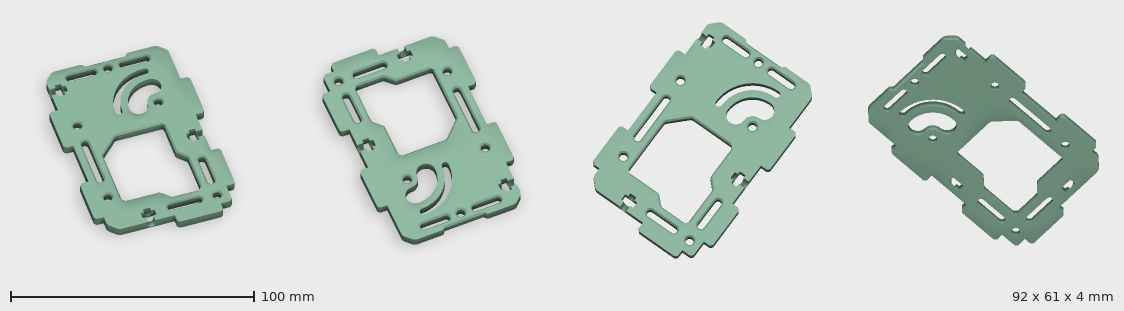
import cadquery as cq
import math

total_length = 92.0
total_width = 61.0
thickness = 4.0
tab_height = 4.0
tab_length = 20.0
tab_chamfer = 1.0
body_length = total_length - tab_height
body_width = total_width - 2 * tab_height
half_width = body_width / 2

corner_chamfer = 4.0
corner_fillet = 2.8

left_tabs_x = 1.5 * tab_length
right_tabs_x = 3.5 * tab_length
end_tab_y = 11.5

notch_depth = 1.0
notch_length = tab_length
notch_bevel = 0.7

hole_diameter = 3.5
slot_width = 3.0
rim_chamfer = 0.69
left_column_x = 5.0
right_column_x = 83.0
row_y = 21.5
pivot = (28.5, 14.0)
hole_centers = [
    (left_column_x, 0),
    (30.0, -row_y),
    (70.0, -row_y),
    (right_column_x, row_y),
    pivot,
]
left_slot_length = 13.0
bottom_slot_length = 23.0
right_slot_length = 14.9
left_slot_y = 11.5
straight_slots = [
    (left_column_x, left_slot_y, left_slot_length, 90),
    (left_column_x, -left_slot_y, left_slot_length, 90),
    (50.0, -row_y, bottom_slot_length, 0),
    (69.0, row_y, right_slot_length, 0),
    (right_column_x, 7.5, right_slot_length, 90),
]

wide_arc_radius = 8.5
wide_arc_width = 8.0
narrow_arc_radius = 17.0
narrow_arc_width = 2.9

window_left = 40.0
window_right = 78.0
window_half_width = 16.5
window_step = 4.0
window_step_x = 56.0
window_step_y = -0.4
window_big_chamfer = 8.0
window_fillet = 2.0
window_corner_leg = 2.2

screw_diameter = 3.1
screw_length = 7.1
nut_width = 6.0
nut_height = 2.8
nut_edge_distance = 2.8
screw_floor = 0.5
screw_end_fillet = 0.55
screw_channels = [
    (10.0, -half_width, 90),
    (50.0, half_width, -90),
    (body_length, -8.5, 180),
]


def block(length, width, x, y):
    """Full-thickness box centred on (x, y)."""
    return cq.Workplane("XY").center(x, y).rect(length, width).extrude(thickness)


def make_body():
    """Base plate with three large rounded corners and one small chamfered corner."""
    small_corner = "|Z and >(1, 1, 0)"
    other_corners = "|Z and (not >(1, 1, 0))"
    body = block(body_length, body_width, body_length / 2, 0)
    body = body.edges(other_corners).chamfer(corner_chamfer)
    body = body.edges(other_corners).fillet(corner_fillet)
    return body.edges(small_corner).chamfer(tab_chamfer)


def add_tabs(plate):
    """Tabs on the front and back edges, and one on the right end."""
    for x in (left_tabs_x, right_tabs_x):
        tab_pair = block(tab_length, total_width, x, 0)
        plate = plate.union(tab_pair.edges("|Z").chamfer(tab_chamfer))
    end_tab_reach = 3 * tab_height
    end_tab = block(end_tab_reach, tab_length, total_length - end_tab_reach / 2, end_tab_y)
    return plate.union(end_tab.edges("|Z").chamfer(tab_chamfer))


def notch():
    """Recess with sloped ends and a floor bevelled along its top and bottom edges."""
    half = notch_length / 2
    floor_half = half - notch_depth
    deepest = notch_depth + notch_bevel
    mitre_angle = math.radians(22.5)
    deepest_half = floor_half - notch_bevel * math.tan(mitre_angle)
    plan = [
        (0, -half), (notch_depth, -floor_half), (deepest, -deepest_half),
        (deepest, deepest_half), (notch_depth, floor_half), (0, half),
    ]
    section = [
        (0, 0), (deepest, 0), (notch_depth, notch_bevel),
        (notch_depth, thickness - notch_bevel), (deepest, thickness), (0, thickness),
    ]
    recess = cq.Workplane("XY").polyline(plan).close().extrude(thickness)
    return recess.intersect(cq.Workplane("XZ").polyline(section).close().extrude(half, both=True))


def with_rim_chamfer(cutter):
    """Widen a straight through cutter at 45 degrees towards the top face."""
    bottom_wire = cutter.faces("<Z").wires().val()
    flare_base = bottom_wire.translate(cq.Vector(0, 0, thickness - rim_chamfer))
    flare = cq.Workplane("XY").add(flare_base).toPending().extrude(rim_chamfer, taper=-45)
    return cutter.union(flare)


def arc_slot(radius, width):
    """Quarter-circle slot from the pivot's left side to its lower side."""
    inner = radius - width / 2
    outer = radius + width / 2
    diagonal = math.sqrt(0.5)
    return (
        cq.Workplane("XY").center(*pivot)
        .moveTo(-outer, 0)
        .threePointArc((-outer * diagonal, -outer * diagonal), (0, -outer))
        .threePointArc((width / 2, -radius), (0, -inner))
        .threePointArc((-inner * diagonal, -inner * diagonal), (-inner, 0))
        .threePointArc((-radius, width / 2), (-outer, 0))
        .close()
        .extrude(thickness)
    )


def corner_fill(x, y, x_side, y_side):
    """Wedge that flattens a square window corner over the full thickness."""
    rim_x = x + x_side * rim_chamfer
    rim_y = y + y_side * rim_chamfer
    triangle = [
        (rim_x, rim_y),
        (rim_x - x_side * window_corner_leg, rim_y),
        (rim_x, rim_y - y_side * window_corner_leg),
    ]
    return cq.Workplane("XY").polyline(triangle).close().extrude(thickness)


def window():
    """Stepped window with a bevelled rim and three flattened square corners."""
    low, high = -window_half_width, window_half_width
    step_top = high - window_step
    step_right = window_right - window_step
    top_bends = [(window_step_x + window_step, high), (window_step_x, step_top)]
    right_bends = [(step_right, window_step_y), (window_right, window_step_y + window_step)]
    slope_bends = [(window_left, low + window_big_chamfer), (window_left + window_big_chamfer, low)]
    outline = [
        (step_right, low), *right_bends, (window_right, high),
        *top_bends, (window_left, step_top), *slope_bends,
    ]
    opening = cq.Workplane("XY").polyline(outline).close().extrude(thickness)
    for x, y in top_bends + right_bends + slope_bends:
        bend_edge = cq.NearestToPointSelector((x, y, thickness / 2))
        opening = opening.edges("|Z").edges(bend_edge).fillet(window_fillet)
    opening = with_rim_chamfer(opening)
    opening = opening.cut(corner_fill(window_left, step_top, -1, 1))
    opening = opening.cut(corner_fill(window_right, high, 1, 1))
    return opening.cut(corner_fill(step_right, low, 1, -1))


def screw_channel(x, y, angle):
    """Round-bottomed channel running inward from the edge point (x, y), with its nut slot."""
    radius = screw_diameter / 2
    axis_height = screw_floor + radius
    channel = (
        cq.Workplane("YZ")
        .moveTo(-radius, thickness)
        .lineTo(-radius, axis_height)
        .threePointArc((0, screw_floor), (radius, axis_height))
        .lineTo(radius, thickness)
        .close()
        .extrude(screw_length)
    )
    rounded_end = block(screw_length, screw_diameter, screw_length / 2, 0)
    channel = channel.intersect(rounded_end.edges("|Z and >X").fillet(screw_end_fillet))
    nut = block(nut_height, nut_width, nut_edge_distance + nut_height / 2, 0)
    return channel.union(nut).rotate((0, 0, 0), (0, 0, 1), angle).translate((x, y, 0))


result = add_tabs(make_body()).cut(notch())

for x, y in hole_centers:
    hole = cq.Workplane("XY").center(x, y).circle(hole_diameter / 2).extrude(thickness)
    result = result.cut(with_rim_chamfer(hole))

for x, y, length, angle in straight_slots:
    slot = cq.Workplane("XY").center(x, y).slot2D(length, slot_width, angle).extrude(thickness)
    result = result.cut(with_rim_chamfer(slot))

result = result.cut(arc_slot(wide_arc_radius, wide_arc_width))
result = result.cut(arc_slot(narrow_arc_radius, narrow_arc_width))
result = result.cut(window())

for x, y, inward_angle in screw_channels:
    result = result.cut(screw_channel(x, y, inward_angle))